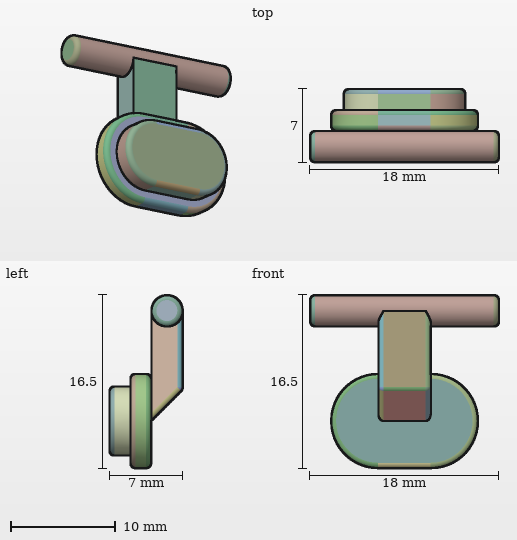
import cadquery as cq

edge_radius = 0.5

rod_diameter = 3.0
rod_length = 18.0
rod_height = 10.5

flange_straight = 5.0
flange_height = 9.0
flange_thickness = 2.0

plug_inset = 1.2
plug_depth = 2.0

arm_width = flange_straight
arm_depth = rod_diameter

rod_radius = rod_diameter / 2
rod_axis_y = -arm_depth / 2
flange_length = flange_straight + flange_height
plug_length = flange_length - 2 * plug_inset
plug_height = flange_height - 2 * plug_inset


def make_base():
    """Rounded flange with a smaller plug of the same outline on its back."""
    flange = (
        cq.Workplane("XZ")
        .slot2D(flange_length, flange_height)
        .extrude(-flange_thickness)
        .edges("<Y or >Y")
        .fillet(edge_radius)
    )
    plug = (
        cq.Workplane("XZ", origin=(0, flange_thickness, 0))
        .slot2D(plug_length, plug_height)
        .extrude(-plug_depth)
        .edges(">Y")
        .fillet(edge_radius)
    )
    return flange.union(plug)


def rod_cylinder():
    """Plain cylinder along X, centred over the base."""
    return (
        cq.Workplane("YZ", origin=(-rod_length / 2, rod_axis_y, rod_height))
        .circle(rod_radius)
        .extrude(rod_length)
    )


def make_rod():
    """Handle rod with rounded ends."""
    return rod_cylinder().edges("%CIRCLE").fillet(edge_radius)


def make_arm():
    """Arm from the flange up to the rod, with a 45 degree underside."""
    bend_height = arm_depth
    blank = (
        cq.Workplane("YZ", origin=(-arm_width / 2, 0, 0))
        .moveTo(0, 0)
        .lineTo(-arm_depth, bend_height)
        .lineTo(-arm_depth, rod_height)
        .lineTo(0, rod_height)
        .close()
        .extrude(arm_width)
    )
    front_edges = blank.faces("<Y").edges("not >Z")
    slope_sides = blank.faces(">(0, -1, -1)").edges("not |X")
    rounded = blank.newObject(front_edges.vals() + slope_sides.vals()).fillet(edge_radius)
    return rounded.cut(rod_cylinder())


base = make_base()
arm = make_arm()
rod = make_rod()

result = cq.Compound.makeCompound([*base.solids().vals(), *arm.solids().vals(), *rod.solids().vals()])